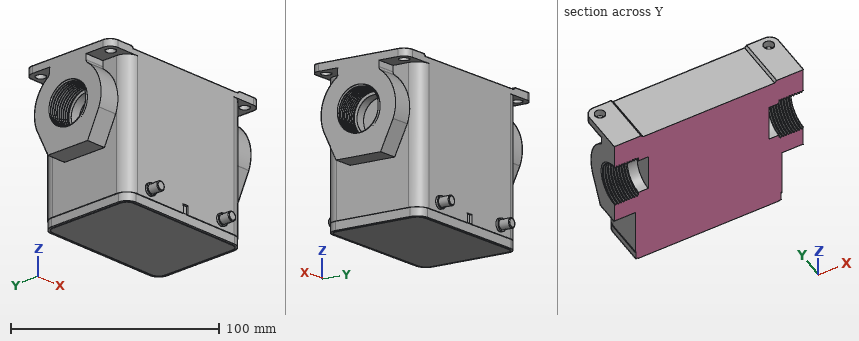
import cadquery as cq
import math

length = 105.5
height = 81.0
body_length = 82.0
depth = 56.5
body_corner_radius = 7.2

rim_top = 4.9
rim_inset = 0.4
rim_corner_radius = 5.9
foot_height = 0.3
foot_inset = 1.3

flange_thickness = 4.0
flange_corner_radius = 5.0
flange_bottom = height - flange_thickness
recess_depth = 1.2
recess_top_length = 75.6
hole_diameter = 5.5
hole_spacing_x = 94.1
hole_spacing_y = 46.0

port_height = 54.4
boss_radius = 21.9
boss_flat_height = 31.2
boss_flat_width = 26.2
flank_top = 46.6
neck_width = 24.3
neck_blend_radius = 2.0

thread_pitch = 1.5
thread_minor_radius = 11.7
thread_major_radius = 12.6
thread_length = 13.5
thread_root_width = 0.2
thread_mouth_width = 1.3
thread_start_angle = 145
profile_overlap = 0.2
bore_radius = 10.3
bore_depth = 19.0

pin_spacing = 50.1
pin_height = 9.7
pin_span = 71.1
pin_diameter = 5.2
pin_chamfer = 0.4
collar_diameter = 6.6
collar_length = 1.2

notch_width = 3.5
notch_top = 9.7
notch_floor = 5.2
notch_depth = 1.3


def rounded_block(size_x, size_y, bottom, top, radius):
    block = cq.Workplane("XY").workplane(offset=bottom).rect(size_x, size_y).extrude(top - bottom)
    return block.edges("|Z").fillet(radius)


def make_body():
    foot_radius = rim_corner_radius - foot_inset
    rim_length = body_length - 2 * rim_inset
    rim_depth = depth - 2 * rim_inset
    foot = rounded_block(rim_length - 2 * foot_inset, rim_depth - 2 * foot_inset, 0, rim_top, foot_radius)
    rim = rounded_block(rim_length, rim_depth, foot_height, rim_top, rim_corner_radius)
    shell = rounded_block(body_length, depth, rim_top, flange_bottom, body_corner_radius)
    return foot.union(rim).union(shell)


def make_flange():
    flange = rounded_block(length, depth, flange_bottom, height, flange_corner_radius)
    recess_floor_length = recess_top_length - 2 * recess_depth
    recess = (
        cq.Workplane("XZ")
        .moveTo(-recess_top_length / 2, height)
        .lineTo(-recess_floor_length / 2, height - recess_depth)
        .lineTo(recess_floor_length / 2, height - recess_depth)
        .lineTo(recess_top_length / 2, height)
        .close()
        .extrude(depth / 2, both=True)
    )
    return flange.cut(recess)


def make_mounting_holes():
    return (
        cq.Workplane("XY")
        .workplane(offset=flange_bottom)
        .rect(hole_spacing_x, hole_spacing_y, forConstruction=True)
        .vertices()
        .circle(hole_diameter / 2)
        .extrude(flange_thickness)
    )


def make_bosses():
    """Round bosses tapering to a flat below, joined to the flange by a blended neck."""
    half_neck = neck_width / 2
    half_flat = boss_flat_width / 2
    flank_drop = port_height - flank_top
    flank_y = math.sqrt(boss_radius**2 - flank_drop**2)

    blend_y = half_neck + neck_blend_radius
    centre_distance = boss_radius + neck_blend_radius
    blend_rise = math.sqrt(centre_distance**2 - blend_y**2)
    neck_bottom = port_height + blend_rise
    touch_y = blend_y * boss_radius / centre_distance
    touch_z = port_height + blend_rise * boss_radius / centre_distance
    blend_angle = math.pi + math.atan2(blend_rise, blend_y) / 2
    blend_mid_y = blend_y + neck_blend_radius * math.cos(blend_angle)
    blend_mid_z = neck_bottom + neck_blend_radius * math.sin(blend_angle)

    return (
        cq.Workplane("YZ")
        .moveTo(-half_flat, boss_flat_height)
        .lineTo(half_flat, boss_flat_height)
        .lineTo(flank_y, flank_top)
        .threePointArc((boss_radius, port_height), (touch_y, touch_z))
        .threePointArc((blend_mid_y, blend_mid_z), (half_neck, neck_bottom))
        .lineTo(half_neck, flange_bottom)
        .lineTo(-half_neck, flange_bottom)
        .lineTo(-half_neck, neck_bottom)
        .threePointArc((-blend_mid_y, blend_mid_z), (-touch_y, touch_z))
        .threePointArc((-boss_radius, port_height), (-flank_y, flank_top))
        .close()
        .extrude(length / 2, both=True)
    )


def make_port_bore():
    """Bore and helical thread groove entering the -X boss."""
    entry = cq.Workplane("YZ", origin=(-length / 2, 0, port_height))
    bore = entry.circle(thread_minor_radius).extrude(thread_length)
    bore = bore.union(entry.circle(bore_radius).extrude(bore_depth))

    helix_length = thread_length + 2 * thread_pitch
    helix = cq.Wire.makeHelix(thread_pitch, helix_length, thread_major_radius)
    inner_radius = thread_minor_radius - profile_overlap
    groove = (
        cq.Workplane("XZ")
        .moveTo(inner_radius, -thread_mouth_width / 2)
        .lineTo(thread_major_radius, -thread_root_width / 2)
        .lineTo(thread_major_radius, thread_root_width / 2)
        .lineTo(inner_radius, thread_mouth_width / 2)
        .close()
        .sweep(cq.Workplane("XY").add(helix), isFrenet=True)
        .rotate((0, 0, 0), (0, 0, 1), thread_start_angle)
        .rotate((0, 0, 0), (0, 1, 0), 90)
        .translate((-length / 2 - thread_pitch, 0, port_height))
    )
    groove = groove.intersect(entry.circle(boss_radius).extrude(thread_length))
    return bore, groove


def make_pins():
    """Collared pins running out to both long sides at two places along X."""
    pins = cq.Workplane("XY")
    collar_span = depth + 2 * collar_length
    for x in (-pin_spacing / 2, pin_spacing / 2):
        axis = cq.Workplane("XZ", origin=(x, 0, pin_height))
        pin = axis.circle(pin_diameter / 2).extrude(pin_span / 2, both=True)
        pin = pin.faces("<Y or >Y").chamfer(pin_chamfer)
        collar = axis.circle(collar_diameter / 2).extrude(collar_span / 2, both=True)
        pins = pins.add(pin.union(collar))
    return pins.combine()


def make_notch(side):
    """Notch on one long side (side is -1 or 1), with its sill flush with the rim."""
    face_y = side * depth / 2
    notch = (
        cq.Workplane("XY", origin=(0, face_y, notch_floor))
        .rect(notch_width, 2 * notch_depth)
        .extrude(notch_top - notch_floor)
    )
    sill_clearance = (
        cq.Workplane("XY", origin=(0, face_y, rim_top))
        .rect(notch_width, 2 * rim_inset)
        .extrude(notch_floor - rim_top)
    )
    return notch.union(sill_clearance)


housing = make_body().union(make_bosses()).union(make_flange())
housing = housing.cut(make_mounting_holes())
for side in (-1, 1):
    housing = housing.cut(make_notch(side))
housing = housing.union(make_pins())

bore, groove = make_port_bore()
for turn in (0, 180):
    for cutter in (bore, groove):
        housing = housing.cut(cutter.rotate((0, 0, 0), (0, 0, 1), turn))

result = housing